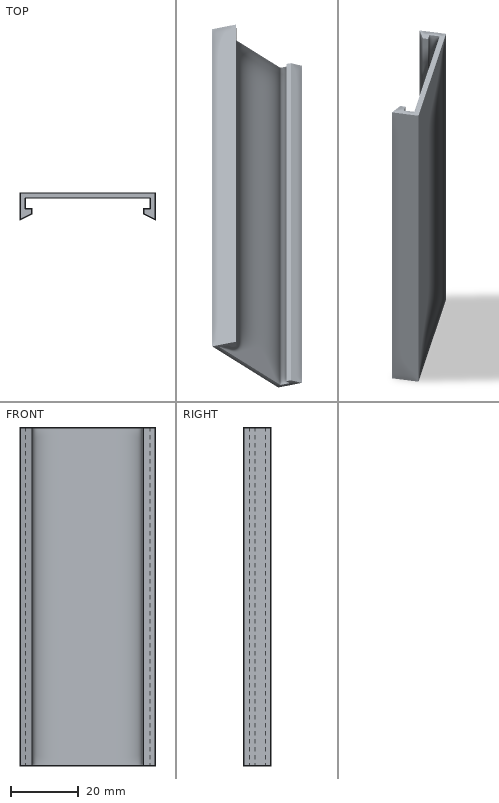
import cadquery as cq

width = 40.0
depth = 8.0
length = 100.0

wall = 1.6
lip_reach = 3.5
lip_back = 4.7
ramp_slope = 0.5

half_width = width / 2
front_y = -depth / 2
back_y = depth / 2
inner_x = half_width - wall
lip_x = half_width - lip_reach
lip_tip_y = front_y + lip_reach * ramp_slope

half_profile = [
    (half_width, back_y),
    (half_width, front_y),
    (lip_x, lip_tip_y),
    (lip_x, back_y - lip_back),
    (inner_x, back_y - lip_back),
    (inner_x, back_y - wall),
]

mirrored_profile = [(-x, y) for x, y in reversed(half_profile)]
result = cq.Workplane("XY").polyline(half_profile + mirrored_profile).close().extrude(length)